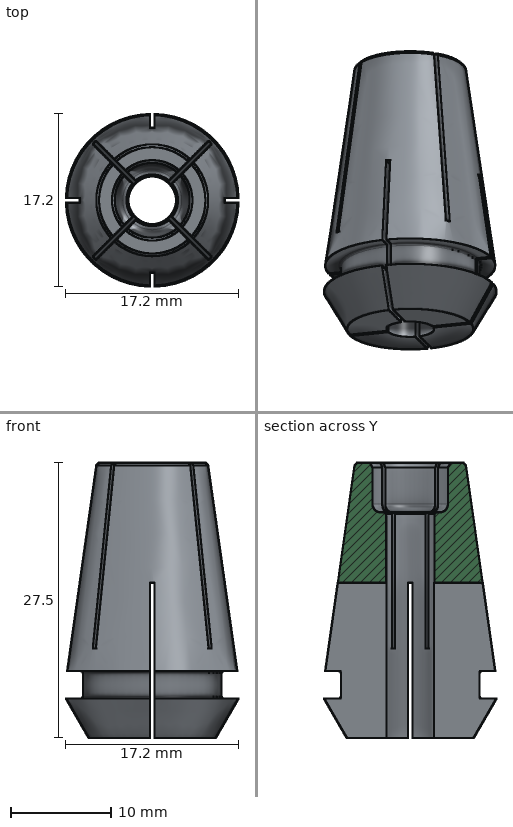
import cadquery as cq

height = 27.5
taper_base_z = 6.68
taper_base_radius = 8.5
taper_top_radius = 5.58
top_chamfer = 0.28

nose_bottom_radius = 6.38
nose_top_radius = 8.62
nose_height = 3.95
nose_edge_chamfer = 0.08
groove_radius = 6.93
groove_fillet = 0.2

bore_radius = 4.75 / 2
bore_chamfer = 0.2
counterbore_radius = 3.75
counterbore_wall_bottom_z = 23.35
floor_fillet = 0.8
mouth_chamfer_width = 0.28
mouth_chamfer_depth = 0.5

slot_width = 0.45
lower_slot_top_z = 15.48
upper_slot_bottom_z = 8.96
slot_length = 3 * nose_top_radius


def collet_body():
    """Solid of revolution: nose cone, groove and clamping taper."""
    profile = (
        cq.Workplane("XZ")
        .lineTo(nose_bottom_radius - nose_edge_chamfer, 0)
        .lineTo(nose_bottom_radius, nose_edge_chamfer)
        .lineTo(nose_top_radius, nose_height)
        .lineTo(groove_radius + groove_fillet, nose_height)
        .radiusArc((groove_radius, nose_height + groove_fillet), groove_fillet)
        .lineTo(groove_radius, taper_base_z - groove_fillet)
        .radiusArc((groove_radius + groove_fillet, taper_base_z), groove_fillet)
        .lineTo(taper_base_radius, taper_base_z)
        .lineTo(taper_top_radius, height - top_chamfer)
        .lineTo(taper_top_radius - top_chamfer, height)
        .lineTo(0, height)
        .close()
    )
    return profile.revolve(360, (0, 0, 0), (0, 1, 0))


def stepped_bore():
    """Cutter for the through bore and the counterbore at the top."""
    floor_z = counterbore_wall_bottom_z - floor_fillet
    profile = (
        cq.Workplane("XZ")
        .lineTo(bore_radius, 0)
        .lineTo(bore_radius, floor_z - bore_chamfer)
        .lineTo(bore_radius + bore_chamfer, floor_z)
        .lineTo(counterbore_radius - floor_fillet, floor_z)
        .radiusArc((counterbore_radius, counterbore_wall_bottom_z), -floor_fillet)
        .lineTo(counterbore_radius, height - mouth_chamfer_depth)
        .lineTo(counterbore_radius + mouth_chamfer_width, height)
        .lineTo(0, height)
        .close()
    )
    return profile.revolve(360, (0, 0, 0), (0, 1, 0))


def crossed_slots(bottom_z, top_z, first_angle):
    """Cutter for two slots crossing at right angles on the axis."""
    slot = cq.Workplane("XY").box(
        slot_length, slot_width, top_z - bottom_z, centered=(True, True, False)
    ).translate((0, 0, bottom_z))
    axis_ends = ((0, 0, 0), (0, 0, 1))
    first = slot.rotate(*axis_ends, first_angle)
    second = slot.rotate(*axis_ends, first_angle + 90)
    return first.union(second)


result = (
    collet_body()
    .cut(stepped_bore())
    .cut(crossed_slots(0, lower_slot_top_z, 0))
    .cut(crossed_slots(upper_slot_bottom_z, height, 45))
)